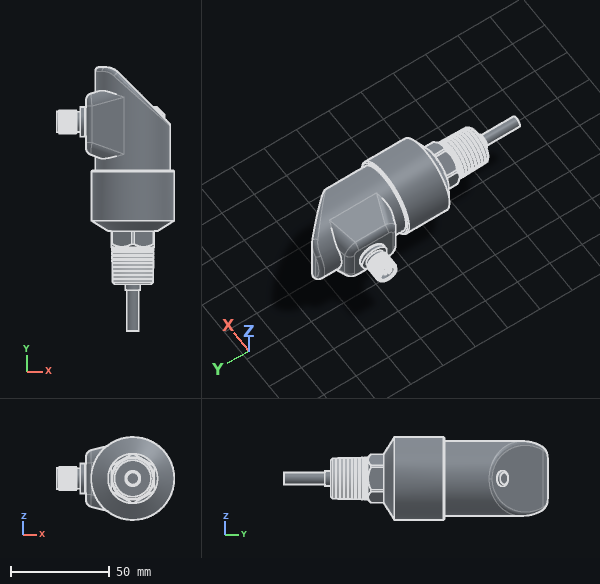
import cadquery as cq
import math


PROBE_SHOULDER_Y = 20.8
THREAD_END_Y = 23.8
NUT_END_Y = 42.8
NUT_BASE_Y = 50.8
COLLAR_CONE_Y = 56.2
COLLAR_TOP_Y = 81.9
TOP_Y = 134.5

OVERALL_X = 60.0

PROBE_R = 3.1
PROBE_SHOULDER_R = 3.9
THREAD_R_END = 10.4
THREAD_R_NUT = 10.8
THREAD_DEPTH = 0.5
THREAD_PITCH = 2.0
THREAD_GROOVE_WIDTH = 0.8
THREAD_GROOVE_COUNT = 8
THREAD_RELIEF = 0.8
THREAD_TIP_CHAMFER = 1.1
NUT_FLATS = 22.0
NUT_CORNER_R = 12.4
NUT_CHAMFER = 1.5

COLLAR_R = 42.4 / 2
COLLAR_CONE_R = 12.6
COLLAR_CHAMFER = 0.7
HEAD_R = 38.3 / 2
SLOPE_SUM = 124.4
CROWN_R = 9.4
RIM_FILLET = 2.2

BUTTON_X = 13.2
BUTTON_R = 4.0
BUTTON_HEIGHT = 1.3
BUTTON_CHAMFER = 1.1
BUTTON_EMBED = 1.3

HOUSING_FACE_X = -24.0
HOUSING_ROOT_X = -4.6
HOUSING_TOP_Y = 120.4
HOUSING_BOTTOM_Y = 90.6
HOUSING_TOP_DRAFT = 15.5
HOUSING_BOTTOM_DRAFT = 20.0
HOUSING_CORNER_R = 6.7
HOUSING_EDGE_R = 4.0

PLUG_Y = 106.5
PLUG_TIP_X = COLLAR_R - OVERALL_X
PLUG_THREAD_R = 6.0
PLUG_TIP_R = 5.4
PLUG_ROOT_R = 5.5
PLUG_PITCH = 1.01
PLUG_CREST = 0.3
PLUG_THREAD_COUNT = 9
PLUG_LEAD = 1.1
PLUG_NECK_R = 5.2
FLANGE_OUTER_X = -26.8
FLANGE_INNER_X = -24.5
FLANGE_R = 7.7
GASKET_R = 7.3
SOCKET_R = 4.3
SOCKET_MOUTH_R = 4.8
SOCKET_DEPTH = 8.1
PIN_R = 0.7
PIN_TIP_CHAMFER = 0.3
PIN_CIRCLE_R = 2.5
PIN_LENGTH = 6.0
KEY_OFFSET = 2.0
KEY_EMBED = 0.1


def cylinder_y(radius, start, end):
    """Cylinder on the main axis between two Y stations."""
    return cq.Workplane("XZ", origin=(0, start, 0)).circle(radius).extrude(start - end)


def plug_cylinder(radius, start, end):
    """Cylinder on the plug axis between two X stations."""
    return cq.Workplane("YZ", origin=(start, PLUG_Y, 0)).circle(radius).extrude(end - start)


def probe_and_thread():
    """Probe rod with its shoulder and the tapered thread, its turns made as separate rings."""
    taper = (THREAD_R_NUT - THREAD_R_END) / (NUT_END_Y - THREAD_END_Y)
    first_crest_y = THREAD_END_Y + THREAD_TIP_CHAMFER
    last_crest_y = NUT_END_Y - THREAD_RELIEF
    relief_r = THREAD_R_NUT - THREAD_DEPTH

    profile = [
        (0, 0),
        (PROBE_R, 0),
        (PROBE_R, PROBE_SHOULDER_Y),
        (PROBE_SHOULDER_R, PROBE_SHOULDER_Y),
        (PROBE_SHOULDER_R, THREAD_END_Y),
        (THREAD_R_END - THREAD_TIP_CHAMFER, THREAD_END_Y),
        (THREAD_R_END, first_crest_y),
    ]
    for i in range(THREAD_GROOVE_COUNT):
        groove_end = first_crest_y + (i + 1) * THREAD_PITCH
        crest_r = THREAD_R_END + taper * (groove_end - THREAD_END_Y)
        profile.append((crest_r, groove_end - THREAD_GROOVE_WIDTH))
        profile.append((crest_r - THREAD_DEPTH, groove_end - THREAD_GROOVE_WIDTH / 2))
        profile.append((crest_r, groove_end))
    profile += [
        (THREAD_R_NUT, last_crest_y),
        (relief_r, last_crest_y),
        (relief_r, NUT_END_Y),
        (0, NUT_END_Y),
    ]
    return cq.Workplane("XY").polyline(profile).close().revolve(360, (0, 0, 0), (0, 1, 0))


def nut():
    """Hexagon with flats facing +X and -X and its corners turned round."""
    hexagon = (
        cq.Workplane("XZ", origin=(0, NUT_END_Y, 0))
        .transformed(rotate=(0, 0, 30))
        .polygon(6, NUT_FLATS / math.cos(math.pi / 6))
        .extrude(NUT_END_Y - NUT_BASE_Y)
    )
    turned = cylinder_y(NUT_CORNER_R, NUT_END_Y, NUT_BASE_Y).faces("<Y").chamfer(NUT_CHAMFER)
    return hexagon.intersect(turned)


def collar():
    """Widest round section, with a cone toward the nut and a small chamfer toward the head."""
    profile = [
        (0, NUT_BASE_Y),
        (COLLAR_CONE_R, NUT_BASE_Y),
        (COLLAR_R, COLLAR_CONE_Y),
        (COLLAR_R, COLLAR_TOP_Y - COLLAR_CHAMFER),
        (COLLAR_R - COLLAR_CHAMFER, COLLAR_TOP_Y),
        (0, COLLAR_TOP_Y),
    ]
    return cq.Workplane("XY").polyline(profile).close().revolve(360, (0, 0, 0), (0, 1, 0))


def head():
    """Cylinder cut by a flat top and a 45 degree face that meet in a round crown."""
    half_turn = math.pi / 8
    crown_x = SLOPE_SUM - TOP_Y
    crown_tangent = CROWN_R * math.tan(half_turn)
    arc_start = (crown_x - crown_tangent, TOP_Y)
    step = crown_tangent * math.sqrt(0.5)
    arc_end = (crown_x + step, TOP_Y - step)
    arc_mid = (
        arc_start[0] + CROWN_R * math.sin(half_turn),
        TOP_Y - CROWN_R * (1 - math.cos(half_turn)),
    )
    reach = 2 * HEAD_R
    sloped_prism = (
        cq.Workplane("XY", origin=(0, 0, -reach))
        .moveTo(-reach, COLLAR_TOP_Y)
        .lineTo(-reach, TOP_Y)
        .lineTo(*arc_start)
        .threePointArc(arc_mid, arc_end)
        .lineTo(reach, SLOPE_SUM - reach)
        .lineTo(reach, COLLAR_TOP_Y)
        .close()
        .extrude(2 * reach)
    )
    body = cylinder_y(HEAD_R, COLLAR_TOP_Y, TOP_Y).intersect(sloped_prism)
    return body.faces(">Y").edges().fillet(RIM_FILLET)


def button():
    """Chamfered push button standing on the sloped face."""
    slope = cq.Plane(origin=(BUTTON_X, SLOPE_SUM - BUTTON_X, 0), xDir=(0, 0, 1), normal=(1, 1, 0))
    base = cq.Workplane(slope).workplane(offset=-BUTTON_EMBED)
    disc = base.circle(BUTTON_R).extrude(BUTTON_EMBED + BUTTON_HEIGHT)
    return disc.faces(">(1, 1, 0)").chamfer(BUTTON_CHAMFER)


def housing():
    """Round-cornered block that widens toward the head and meets the cylinder tangentially."""
    depth = HOUSING_ROOT_X - HOUSING_FACE_X
    root_z = math.sqrt(HEAD_R**2 - HOUSING_ROOT_X**2)
    flank_slope = -HOUSING_ROOT_X / root_z
    face_z = root_z - depth * flank_slope
    top_rise = depth * math.tan(math.radians(HOUSING_TOP_DRAFT))
    bottom_drop = depth * math.tan(math.radians(HOUSING_BOTTOM_DRAFT))

    lengthwise = (
        cq.Workplane("XY", origin=(0, 0, -HEAD_R))
        .moveTo(HOUSING_FACE_X, HOUSING_BOTTOM_Y)
        .lineTo(HOUSING_FACE_X, HOUSING_TOP_Y)
        .lineTo(HOUSING_ROOT_X, HOUSING_TOP_Y + top_rise)
        .lineTo(HOUSING_ROOT_X, HOUSING_BOTTOM_Y - bottom_drop)
        .close()
        .extrude(2 * HEAD_R)
    )
    crosswise = (
        cq.Workplane("XZ", origin=(0, TOP_Y, 0))
        .moveTo(HOUSING_FACE_X, -face_z)
        .lineTo(HOUSING_FACE_X, face_z)
        .lineTo(HOUSING_ROOT_X, root_z)
        .lineTo(HOUSING_ROOT_X, -root_z)
        .close()
        .extrude(TOP_Y - NUT_BASE_Y)
    )
    block = lengthwise.intersect(crosswise)
    corners = block.edges("not(|Y or |Z)")
    return corners.fillet(HOUSING_CORNER_R).faces("<X").edges().fillet(HOUSING_EDGE_R)


def plug():
    """Threaded plug connector with its socket and flange, revolved about its own axis along X."""
    floor_x = PLUG_TIP_X + SOCKET_DEPTH
    thread_start_x = PLUG_TIP_X + PLUG_LEAD
    thread_end_x = thread_start_x + PLUG_THREAD_COUNT * PLUG_PITCH
    profile = [
        (floor_x, 0),
        (floor_x, SOCKET_R),
        (PLUG_TIP_X + SOCKET_MOUTH_R - SOCKET_R, SOCKET_R),
        (PLUG_TIP_X, SOCKET_MOUTH_R),
        (PLUG_TIP_X, PLUG_TIP_R),
        (thread_start_x, PLUG_TIP_R),
    ]
    for i in range(PLUG_THREAD_COUNT):
        ring_middle = thread_start_x + (i + 0.5) * PLUG_PITCH
        profile.append((ring_middle - PLUG_CREST / 2, PLUG_THREAD_R))
        profile.append((ring_middle + PLUG_CREST / 2, PLUG_THREAD_R))
        profile.append((ring_middle + PLUG_PITCH / 2, PLUG_ROOT_R))
    profile += [
        (thread_end_x, PLUG_NECK_R),
        (FLANGE_OUTER_X, PLUG_NECK_R),
        (FLANGE_OUTER_X, FLANGE_R),
        (FLANGE_INNER_X, FLANGE_R),
        (FLANGE_INNER_X, GASKET_R),
        (HOUSING_FACE_X, GASKET_R),
        (HOUSING_FACE_X, 0),
    ]
    axis_plane = cq.Workplane("XY", origin=(0, PLUG_Y, 0))
    shell = axis_plane.polyline(profile).close().revolve(360, (0, 0, 0), (1, 0, 0))
    return shell.union(pins(floor_x)).union(key(floor_x))


def pins(floor_x):
    """Four contact pins standing on the socket floor."""
    contacts = (
        cq.Workplane("YZ", origin=(floor_x, PLUG_Y, 0))
        .polarArray(PIN_CIRCLE_R, 0, 360, 4)
        .circle(PIN_R)
        .extrude(-PIN_LENGTH)
    )
    return contacts.faces("<X").chamfer(PIN_TIP_CHAMFER)


def key(floor_x):
    """Square-cornered coding key in the -Y, -Z quarter of the socket wall."""
    corner = (
        cq.Workplane("YZ", origin=(floor_x, PLUG_Y, 0))
        .moveTo(-KEY_OFFSET, -KEY_OFFSET)
        .rect(-SOCKET_R, -SOCKET_R, centered=False)
        .extrude(-PIN_LENGTH)
    )
    return corner.intersect(plug_cylinder(SOCKET_R + KEY_EMBED, PLUG_TIP_X, floor_x))


result = collar()
for section in (nut(), probe_and_thread(), head(), button(), housing(), plug()):
    result = result.union(section)